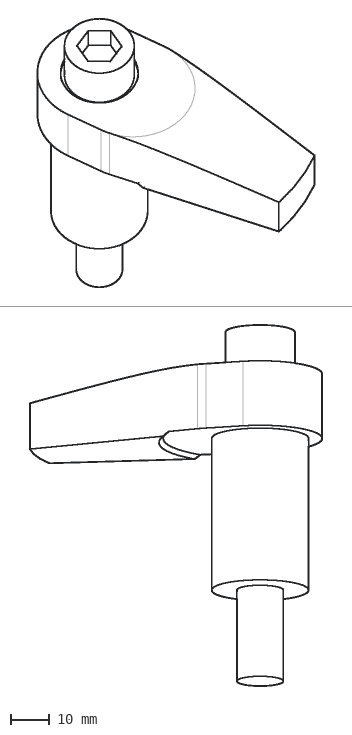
import cadquery as cq
import math


hub_radius = 16.0
hub_height = 17.0
hub_center_distance = 10.0

tip_radius = 50.0
tip_half_width = 9.0
tip_drop = 6.0
grip_underside_drop = 1.1
step_radius = 25.0

sleeve_diameter = 25.0
sleeve_length = 40.0

thread_diameter = 12.0
thread_length = 80.0
head_diameter = 18.0
head_height = 12.0
socket_across_flats = 10.0
socket_depth = 6.0

recess_diameter = 20.0
recess_depth = 1.0

seat_z = hub_height - recess_depth
cutter_reach = 2 * tip_radius
tip_corner_angle = math.asin(tip_half_width / tip_radius)
tangent_angle = tip_corner_angle + math.acos(hub_radius / tip_radius)


def on_cone_axis_circle(radius, angle):
    """Point on a circle about the cone axis, mirrored to -Y for a negative angle."""
    return (hub_center_distance + radius * math.cos(angle), radius * math.sin(angle))


def make_lever_blank():
    """Plan outline of hub and grip, extruded from the grip underside to the hub top."""
    corner_arc_angle = (math.pi / 2 + tangent_angle) / 2
    return (
        cq.Workplane("XY", origin=(0, 0, -grip_underside_drop))
        .moveTo(0, hub_radius)
        .threePointArc((-hub_radius, 0), (0, -hub_radius))
        .lineTo(hub_center_distance, -hub_radius)
        .threePointArc(
            on_cone_axis_circle(hub_radius, -corner_arc_angle),
            on_cone_axis_circle(hub_radius, -tangent_angle),
        )
        .lineTo(*on_cone_axis_circle(tip_radius, -tip_corner_angle))
        .threePointArc(
            on_cone_axis_circle(tip_radius, 0),
            on_cone_axis_circle(tip_radius, tip_corner_angle),
        )
        .lineTo(*on_cone_axis_circle(hub_radius, tangent_angle))
        .threePointArc(
            on_cone_axis_circle(hub_radius, corner_arc_angle),
            (hub_center_distance, hub_radius),
        )
        .close()
        .extrude(hub_height + grip_underside_drop)
    )


def make_conical_top_cutter():
    """Ring above the cone that slopes from the hub's top edge down to the tip."""
    slope = tip_drop / (tip_radius - hub_radius)
    outer_drop = slope * (cutter_reach - hub_radius)
    ring = (
        cq.Workplane("XZ")
        .moveTo(hub_radius, hub_height)
        .lineTo(cutter_reach, hub_height)
        .lineTo(cutter_reach, hub_height - outer_drop)
        .close()
        .revolve(360, (0, 0, 0), (0, 1, 0))
        .translate((hub_center_distance, 0, 0))
    )
    grip_side = cq.Workplane("XY").box(
        cutter_reach, cutter_reach, 2 * hub_height, centered=(False, True, True)
    )
    return ring.intersect(grip_side.translate((hub_center_distance, 0, hub_height)))


def make_underside_cutter():
    """Disc that lifts the hub underside, flaring into the 45 degree conical step."""
    return (
        cq.Workplane("XZ")
        .lineTo(step_radius, 0)
        .lineTo(step_radius + grip_underside_drop, -grip_underside_drop)
        .lineTo(0, -grip_underside_drop)
        .close()
        .revolve(360, (0, 0, 0), (0, 1, 0))
    )


def make_lever():
    """Hub, grip and sleeve in one piece, bored and recessed for the screw."""
    lever = make_lever_blank().cut(make_conical_top_cutter()).cut(make_underside_cutter())
    sleeve = cq.Workplane("XY").circle(sleeve_diameter / 2).extrude(-sleeve_length)
    seat = cq.Workplane("XY", origin=(0, 0, seat_z))
    recess = seat.circle(recess_diameter / 2).extrude(recess_depth)
    bore = seat.circle(thread_diameter / 2).extrude(-(seat_z + sleeve_length))
    return lever.union(sleeve).cut(recess).cut(bore)


def make_screw():
    """Cap screw whose hexagon socket has two flats facing along X."""
    seat = cq.Workplane("XY", origin=(0, 0, seat_z))
    shank = seat.circle(thread_diameter / 2).extrude(-thread_length)
    head = seat.circle(head_diameter / 2).extrude(head_height)
    socket = (
        cq.Workplane("XY", origin=(0, 0, seat_z + head_height))
        .polygon(6, socket_across_flats, circumscribed=True)
        .extrude(-socket_depth)
    )
    return shank.union(head).cut(socket)


lever = make_lever()
screw = make_screw()

result = cq.Compound.makeCompound([lever.val(), screw.val()])